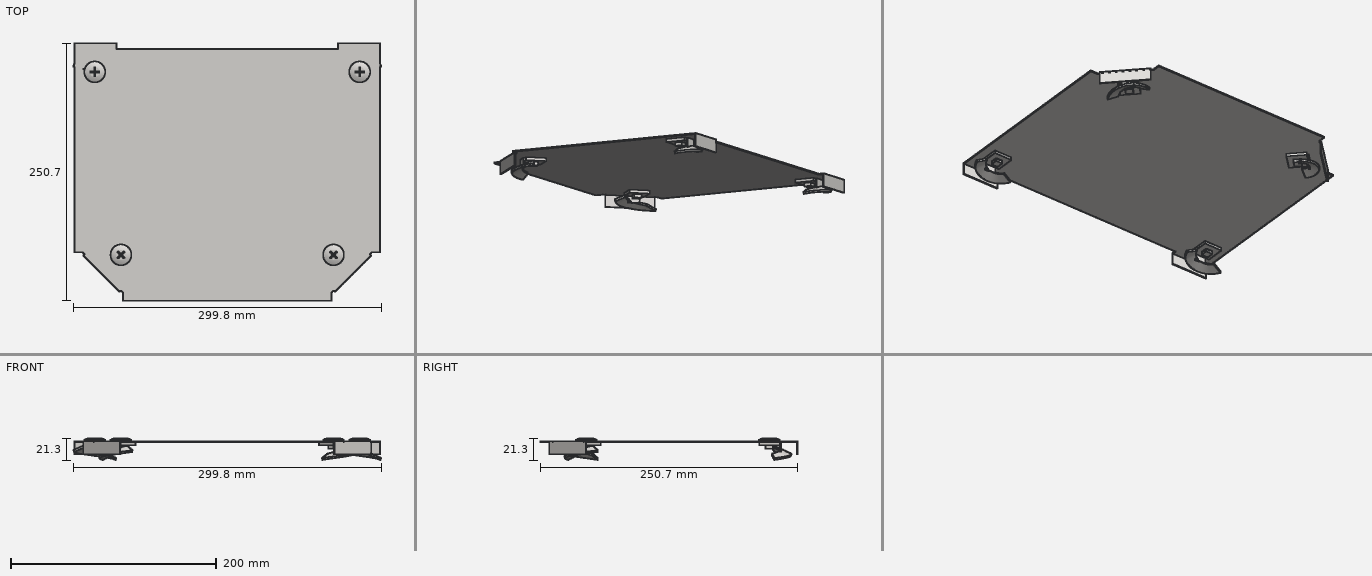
import cadquery as cq
import math

COVER_WIDTH = 297.5
COVER_DEPTH = 250.7
SHEET = 1.2
FLANGE_DROP = 13.0
TAB_WIDTH = 41.0
TAB_LENGTH = 5.5
CORNER_CUT = 47.0
BEVEL_SETBACK = 52.5
RELIEF_DEPTH = 1.8
BEVEL_FLANGE_LENGTH = 50.0

HEAD_RADIUS = 10.2
HEAD_RIM = 1.2
HEAD_HEIGHT = 3.0
HEAD_FLAT_RADIUS = 4.8
DOME_MID_RADIUS = 7.95
DOME_MID_HEIGHT = 2.25
CROSS_LENGTH = 8.7
CROSS_WIDTH = 1.2
CROSS_DEPTH = 1.5
SHANK_RADIUS = 3.0
NUT_SIDE = 7.5
NUT_HEIGHT = 3.3

PAD_SIDE = 20.0
PAD_THICKNESS = 3.0
LEG_REACH = 11.7
LEG_THICKNESS = 1.5
LEG_WIDTH = 12.0
RAMP_OUTER_RADIUS = 21.5
RAMP_INNER_RADIUS = 11.5
RAMP_THICKNESS = 2.0
RAMP_SPAN = 153.0
RAMP_DESCENT = 7.8
RAMP_SLOPE = 23.0
RAMP_END_Z = -16.5

REAR_SCREW_X = 129.0
REAR_SCREW_Y = COVER_DEPTH / 2 - 28.0
FRONT_SCREW_X = 103.5
FRONT_SCREW_Y = COVER_DEPTH / 2 - 206.0
SCREW_PLACES = [
    (-REAR_SCREW_X, REAR_SCREW_Y, 90),
    (REAR_SCREW_X, REAR_SCREW_Y, 90),
    (-FRONT_SCREW_X, FRONT_SCREW_Y, 225),
    (FRONT_SCREW_X, FRONT_SCREW_Y, 315),
]

PAD_TOP = -SHEET
PAD_BOTTOM = PAD_TOP - PAD_THICKNESS
HALF_WIDTH = COVER_WIDTH / 2
HALF_DEPTH = COVER_DEPTH / 2


def front_corner_points():
    """Outline of the left front corner, from the left side to the front edge."""
    relief_step = RELIEF_DEPTH / math.sqrt(2)
    relief_setback = BEVEL_SETBACK + 2 * relief_step
    flange_start = BEVEL_SETBACK / 2 - BEVEL_FLANGE_LENGTH / 2 / math.sqrt(2)
    flange_end = BEVEL_SETBACK - flange_start
    from_corner = [
        (0, CORNER_CUT),
        (relief_setback - CORNER_CUT, CORNER_CUT),
        (flange_start + relief_step, flange_end + relief_step),
        (flange_start, flange_end),
    ]
    from_corner += [(y, x) for x, y in reversed(from_corner)]
    return [(x - HALF_WIDTH, y - HALF_DEPTH) for x, y in from_corner]


def make_bevel_flange():
    """Flange below the bevelled left front corner."""
    flange_middle = BEVEL_SETBACK / 2
    return (
        cq.Workplane("XY")
        .box(SHEET, BEVEL_FLANGE_LENGTH, FLANGE_DROP, centered=(False, True, False))
        .rotate((0, 0, 0), (0, 0, 1), 45)
        .translate((flange_middle - HALF_WIDTH, flange_middle - HALF_DEPTH, -FLANGE_DROP))
    )


def make_rear_flange():
    """Flange below the left rear tab."""
    return (
        cq.Workplane("XY")
        .box(TAB_WIDTH, SHEET, FLANGE_DROP, centered=False)
        .translate((-HALF_WIDTH, HALF_DEPTH - SHEET, -FLANGE_DROP))
    )


def make_cover():
    left_half = [
        (0, HALF_DEPTH - TAB_LENGTH),
        (TAB_WIDTH - HALF_WIDTH, HALF_DEPTH - TAB_LENGTH),
        (TAB_WIDTH - HALF_WIDTH, HALF_DEPTH),
        (-HALF_WIDTH, HALF_DEPTH),
        *front_corner_points(),
        (0, -HALF_DEPTH),
    ]
    half = cq.Workplane("XY").polyline(left_half).close().extrude(-SHEET)
    half = half.union(make_rear_flange()).union(make_bevel_flange())
    cover = half.union(half.mirror("YZ"))
    holes = (
        cq.Workplane("XY")
        .pushPoints([(x, y) for x, y, _ in SCREW_PLACES])
        .circle(SHANK_RADIUS)
        .extrude(-SHEET)
    )
    return cover.cut(holes)


def make_screw():
    """Screw with a domed cross-slot head on the cover and a square end below the clip."""
    nut_bottom = PAD_BOTTOM - NUT_HEIGHT
    body = (
        cq.Workplane("XZ")
        .moveTo(0, PAD_BOTTOM)
        .lineTo(SHANK_RADIUS, PAD_BOTTOM)
        .lineTo(SHANK_RADIUS, 0)
        .lineTo(HEAD_RADIUS, 0)
        .lineTo(HEAD_RADIUS, HEAD_RIM)
        .threePointArc((DOME_MID_RADIUS, DOME_MID_HEIGHT), (HEAD_FLAT_RADIUS, HEAD_HEIGHT))
        .lineTo(0, HEAD_HEIGHT)
        .close()
        .revolve(360, (0, 0, 0), (0, 1, 0))
    )
    nut = cq.Workplane("XY", origin=(0, 0, nut_bottom)).rect(NUT_SIDE, NUT_SIDE).extrude(NUT_HEIGHT)
    slot_plane = cq.Workplane("XY", origin=(0, 0, HEAD_HEIGHT))
    slot_along = slot_plane.rect(CROSS_LENGTH, CROSS_WIDTH).extrude(-CROSS_DEPTH)
    slot_across = slot_plane.rect(CROSS_WIDTH, CROSS_LENGTH).extrude(-CROSS_DEPTH)
    return body.union(nut).cut(slot_along).cut(slot_across)


def ramp_drop():
    """Height from the inner edge of the ramp down to its outer edge."""
    return (RAMP_OUTER_RADIUS - RAMP_INNER_RADIUS) * math.tan(math.radians(RAMP_SLOPE))


def make_ramp():
    """Helical strip around the screw axis that slopes outwards and descends clockwise."""
    pitch = RAMP_DESCENT * 360 / RAMP_SPAN
    slope = math.radians(RAMP_SLOPE)
    tilt_in = RAMP_THICKNESS * math.sin(slope)
    fall = RAMP_THICKNESS * math.cos(slope)
    inner_z = RAMP_END_Z + ramp_drop()
    section = (
        cq.Workplane("XZ")
        .polyline([
            (RAMP_INNER_RADIUS, inner_z),
            (RAMP_OUTER_RADIUS, RAMP_END_Z),
            (RAMP_OUTER_RADIUS - tilt_in, RAMP_END_Z - fall),
            (RAMP_INNER_RADIUS - tilt_in, inner_z - fall),
        ])
        .close()
    )
    helix = cq.Wire.makeHelix(pitch, RAMP_DESCENT, RAMP_OUTER_RADIUS)
    ramp = section.sweep(cq.Workplane("XY").add(helix), isFrenet=True)
    return ramp.rotate((0, 0, 0), (0, 0, 1), -RAMP_SPAN / 2)


def make_clip():
    """Clip that points towards +X."""
    pad = cq.Workplane("XY", origin=(0, 0, PAD_BOTTOM)).rect(PAD_SIDE, PAD_SIDE).extrude(PAD_THICKNESS)
    lip = (
        cq.Workplane("XY", origin=(0, 0, PAD_BOTTOM))
        .box(LEG_REACH, LEG_WIDTH, PAD_THICKNESS, centered=(False, True, False))
    )
    leg_bottom = RAMP_END_Z + RAMP_DESCENT / 2 + ramp_drop() - RAMP_THICKNESS
    leg = (
        cq.Workplane("XY", origin=(LEG_REACH - LEG_THICKNESS, 0, leg_bottom))
        .box(LEG_THICKNESS, LEG_WIDTH, PAD_TOP - leg_bottom, centered=(False, True, False))
    )
    hole = cq.Workplane("XY", origin=(0, 0, PAD_BOTTOM)).circle(SHANK_RADIUS).extrude(PAD_THICKNESS)
    return pad.union(lip).union(leg).union(make_ramp()).cut(hole)


def place(body, x, y, direction):
    """Turn a body that points towards +X to the given direction and move it to its place."""
    return body.rotate((0, 0, 0), (0, 0, 1), direction).translate((x, y, 0))


cover = make_cover()
screws = [place(make_screw(), x, y, direction) for x, y, direction in SCREW_PLACES]
clips = [place(make_clip(), x, y, direction) for x, y, direction in SCREW_PLACES]

result = cq.Compound.makeCompound(
    [cover.val()] + [screw.val() for screw in screws] + [clip.val() for clip in clips]
)